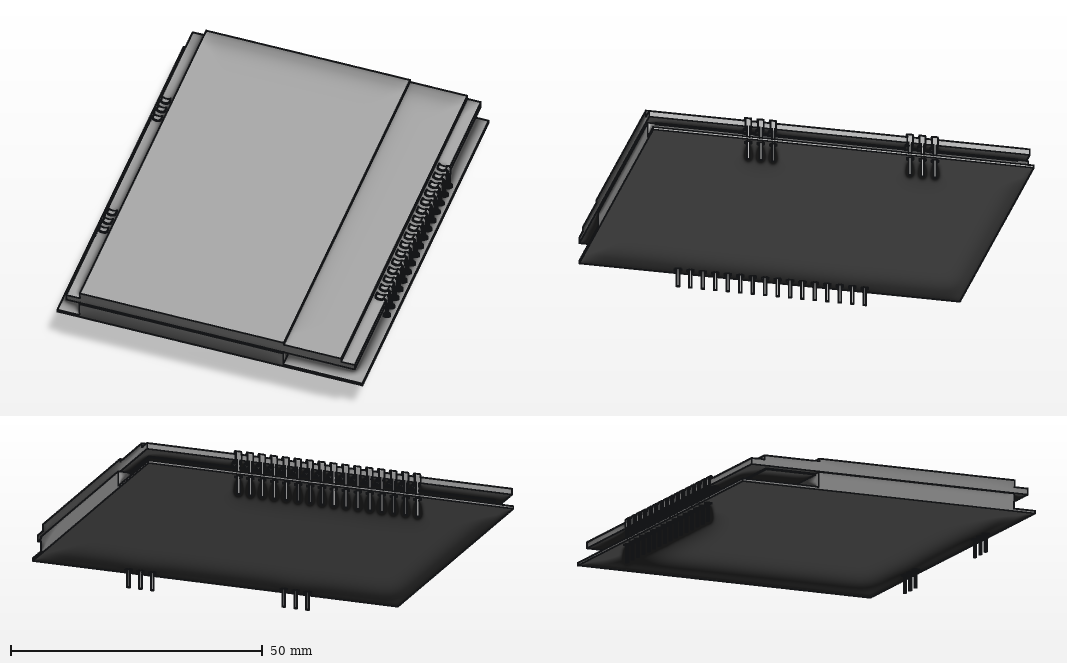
import cadquery as cq
import math

board_width = 64.0
board_length = 77.65
board_bottom = 3.6
board_thickness = 0.55
board_top = board_bottom + board_thickness

total_length = 78.05
glass_length = 77.65
glass_bottom = 7.2
lower_glass_width = 60.5
lower_glass_thickness = 1.25
upper_glass_width = 54.8
upper_glass_thickness = 0.85
top_film_thickness = 0.55
backlight_width = 42.8
bottom_film_thickness = 0.2
bottom_film_left = -27.7
bottom_film_right = 26.15
bottom_film_end_margin = 1.95

lower_glass_top = glass_bottom + lower_glass_thickness
upper_glass_top = lower_glass_top + upper_glass_thickness
upper_left = -upper_glass_width / 2

board_y = (board_length - total_length) / 2
glass_y = (total_length - glass_length) / 2

sheet = 0.3
pin_width = 0.55
clip_width = 1.2
jaw_reach = 2.4
jaw_rise = 0.4
bend_radius = 0.6
pin_hole_diameter = 1.4
pin_row_length = 38.1
pin_positions = 16
end_group = 3

glass_edge = lower_glass_width / 2
pin_x = glass_edge + sheet / 2
pitch = pin_row_length / (pin_positions - 1)
right_pins = [board_y + i * pitch - pin_row_length / 2 for i in range(pin_positions)]
left_pins = right_pins[:end_group] + right_pins[-end_group:]


def slab(x_min, x_max, y_center, length, z_min, thickness):
    """Rectangular plate given by its X limits, its Y centre and its underside."""
    return cq.Workplane("XY").box(
        x_max - x_min, length, thickness, centered=(False, True, False)
    ).translate((x_min, y_center, z_min))


def jaw():
    """Upper jaw on the +X edge: a rounded bend, then a bow whose middle rests on the lower glass."""
    outer = glass_edge + sheet
    crease = outer - bend_radius
    tip = outer - jaw_reach
    middle = (crease + tip) / 2
    z_under = lower_glass_top + jaw_rise
    z_over = z_under + sheet
    z_bend = z_over - bend_radius
    bend_diagonal = bend_radius * math.sqrt(0.5)
    inner_diagonal = (bend_radius - sheet) * math.sqrt(0.5)
    return (
        cq.Workplane("XZ")
        .moveTo(tip, z_under)
        .threePointArc((middle, lower_glass_top), (crease, z_under))
        .threePointArc((crease + inner_diagonal, z_bend + inner_diagonal), (glass_edge, z_bend))
        .lineTo(outer, z_bend)
        .threePointArc((crease + bend_diagonal, z_bend + bend_diagonal), (crease, z_over))
        .threePointArc((middle, lower_glass_top + sheet), (tip, z_over))
        .close()
        .extrude(clip_width / 2, both=True)
    )


def clip_pin():
    """Clip on the +X edge with its straight leg reaching down to Z = 0."""
    upper_jaw = jaw()
    glass_middle = glass_bottom + lower_glass_thickness / 2
    lower_jaw = upper_jaw.mirror("XY", (0, 0, glass_middle))
    bend_overhang = jaw_rise + sheet - bend_radius
    back_height = lower_glass_thickness + 2 * bend_overhang
    back = slab(glass_edge, glass_edge + sheet, 0, clip_width, glass_bottom - bend_overhang, back_height)
    leg = slab(glass_edge, glass_edge + sheet, 0, pin_width, 0, glass_middle)
    return back.union(upper_jaw).union(lower_jaw).union(leg)


def board():
    plate = slab(-board_width / 2, board_width / 2, board_y, board_length, board_bottom, board_thickness)
    hole_points = [(pin_x, y) for y in right_pins] + [(-pin_x, y) for y in left_pins]
    holes = (
        cq.Workplane("XY", origin=(0, 0, board_bottom))
        .pushPoints(hole_points)
        .circle(pin_hole_diameter / 2)
        .extrude(board_thickness)
    )
    return plate.cut(holes)


def display():
    """Backlight block, glass panes and films."""
    backlight_right = upper_left + backlight_width
    film_length = glass_length - 2 * bottom_film_end_margin
    film_bottom = glass_bottom - bottom_film_thickness
    backlight = slab(upper_left, backlight_right, board_y, board_length, board_top, glass_bottom - board_top)
    bottom_film = slab(
        bottom_film_left, bottom_film_right, glass_y, film_length, film_bottom, bottom_film_thickness
    )
    lower_glass = slab(-glass_edge, glass_edge, glass_y, glass_length, glass_bottom, lower_glass_thickness)
    upper_glass = slab(
        upper_left, -upper_left, glass_y, glass_length, lower_glass_top, upper_glass_thickness
    )
    top_film = slab(upper_left, backlight_right, glass_y, glass_length, upper_glass_top, top_film_thickness)
    return backlight.union(bottom_film).union(lower_glass).union(upper_glass).union(top_film)


result = board().union(display())

right_clip = clip_pin()
left_clip = right_clip.mirror("YZ")
for y in right_pins:
    result = result.union(right_clip.translate((0, y, 0)))
for y in left_pins:
    result = result.union(left_clip.translate((0, y, 0)))